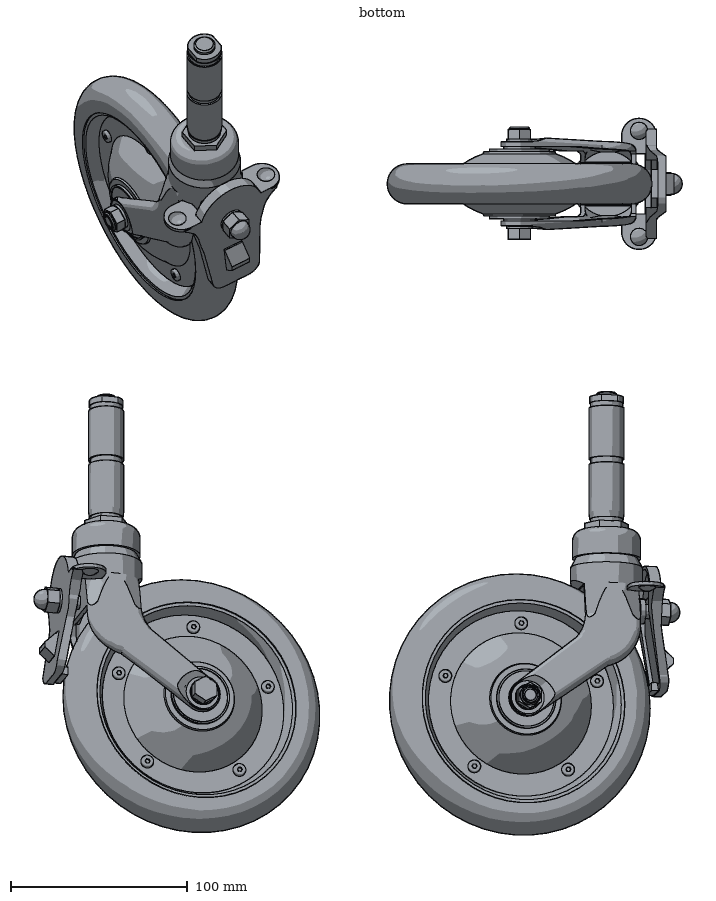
import cadquery as cq
import math


TRAIL = 50.0
AXLE_X = -TRAIL
WHEEL_RADIUS = 75.0
TYRE_HALF_WIDTH = 11.4
AXLE_RADIUS = 4.0
SHEET = 2.6
REACH = 100.0
OVERALL_TOP = 180.99

STEM_RADIUS = 10.0
CAP_RADIUS = 19.3
CAP_BOTTOM = 85.6
CAP_TOP = 101.8
CAP_FILLET = 6.0
HEX_TOP = 105.7
HEX_CORNERS = 25.2
STEM_NECK_RADIUS = 9.2
STEM_GROOVE_RADIUS = 9.0
LOWER_SLEEVE_BOTTOM = 108.3
LOWER_SLEEVE_TAPER_TOP = 111.7
LOWER_SLEEVE_TOP = 139.7
UPPER_SLEEVE_BOTTOM = 143.0
UPPER_SLEEVE_TOP = 172.2
COLLAR_RADIUS = 9.6
COLLAR_BOTTOM = 175.0
COLLAR_TOP = 178.5
COLLAR_HALF_FLATS = 8.4
TIP_RADIUS = 6.0
TIP_CHAMFER = 1.0

HEAD_RADIUS = 20.4
HEAD_TOP_RADIUS = 17.6
HEAD_SHOULDER = 80.2
HEAD_TAPER_TOP = 72.0
NECK_TOP = 68.4
NECK_FRONT = -15.4
NECK_REAR = 16.0
REAR_WALL_BOTTOM = 48.6
CROWN_UNDERSIDE = 67.5
FORK_HALF_WIDTH_TOP = 20.4
FORK_HALF_WIDTH_AXLE = 26.2
FORK_HALF_WIDTH_LOW = 28.0
ARM_ROUNDING = 4.0
EYE_RADIUS = 10.5
ARM_FOOT_Z = 12.0
EYE_INNER = 21.0
EYE_OUTER = 23.7
SCOOP_RADIUS = 16.0

TREAD_EDGE_RADIUS = 63.9
DISC_HALF_WIDTH = 3.5
DOME_RADIUS = 40.6
HUB_RADIUS = 20.7
HUB_SHOULDER = 18.2
HUB_STEP_RADIUS = 17.0
HUB_DISH_RADIUS = 15.9
HUB_DISH_DEPTH = 0.6
RIM_BEAD_RADIUS = 58.4
RIM_BEAD_DEPTH = 1.0
HUB_FACE = 19.8
SPACER_RADIUS = 9.0
SCREW_COUNT = 5
SCREW_CIRCLE = 46.0
SCREW_RADIUS = 3.6

AXLE_HEX_FLATS = 12.8
WASHER_RADIUS = 7.2
WASHER_OUTER = 25.3
BOLT_HEAD_END = 31.4
NUT_END = 32.2

EAR_TIP = 74.29 / 2
EAR_TOP = 66.5
EAR_THICKNESS = 2.0
EAR_RADIUS = 9.9
EAR_DISH_RADIUS = 5.0
EAR_DISH_DEPTH = 3.2
EAR_DISH_WALL = 1.0
EAR_DISH_Y = 30.0
EAR_INNER_Y = 17.0
EAR_NECK_CLEARANCE = 1.2
PLATE_REAR = 27.6
PLATE_THICKNESS = 3.1
ARCH_FRONT = 21.2
ARCH_HALF_WIDTH = 20.0
ARCH_TOP = 81.8
PEDAL_BOTTOM = 8.8
CHANNEL_FLOOR = 24.8
LIP_FRONT = 24.5
LIP_LENGTH = 8.5
LIP_WIDTH = 16.0
LIP_HEIGHT = 4.5
LIP_BOTTOM = 9.3
STOP_HALF_WIDTH = 6.0
PEDAL_BOLT_Z = 56.0
CAP_NUT_END = 42.19
CAP_NUT_FLATS = 13.0


def flats_to_corners(flats):
    return flats * 2 / math.sqrt(3)


def axle_disc(radius, y_from, y_to):
    """Cylinder along Y on the axle axis, between two Y positions."""
    return cq.Workplane("XZ", origin=(AXLE_X, y_from, 0)).circle(radius).extrude(y_from - y_to)


def make_stem():
    sleeve_taper = 0.4
    profile = (
        cq.Workplane("XZ")
        .moveTo(0, CAP_BOTTOM)
        .lineTo(CAP_RADIUS, CAP_BOTTOM)
        .lineTo(CAP_RADIUS, CAP_TOP - CAP_FILLET)
        .radiusArc((CAP_RADIUS - CAP_FILLET, CAP_TOP), -CAP_FILLET)
        .lineTo(STEM_NECK_RADIUS, CAP_TOP)
        .lineTo(STEM_NECK_RADIUS, LOWER_SLEEVE_BOTTOM)
        .lineTo(STEM_RADIUS - sleeve_taper, LOWER_SLEEVE_BOTTOM)
        .lineTo(STEM_RADIUS, LOWER_SLEEVE_TAPER_TOP)
        .lineTo(STEM_RADIUS, LOWER_SLEEVE_TOP)
        .lineTo(STEM_GROOVE_RADIUS, LOWER_SLEEVE_TOP)
        .lineTo(STEM_GROOVE_RADIUS, UPPER_SLEEVE_BOTTOM)
        .lineTo(STEM_RADIUS, UPPER_SLEEVE_BOTTOM)
        .lineTo(STEM_RADIUS, UPPER_SLEEVE_TOP)
        .lineTo(STEM_NECK_RADIUS, UPPER_SLEEVE_TOP)
        .lineTo(STEM_NECK_RADIUS, COLLAR_BOTTOM)
        .lineTo(COLLAR_RADIUS, COLLAR_BOTTOM)
        .lineTo(COLLAR_RADIUS, COLLAR_TOP)
        .lineTo(TIP_RADIUS, COLLAR_TOP)
        .lineTo(TIP_RADIUS, OVERALL_TOP - TIP_CHAMFER)
        .lineTo(TIP_RADIUS - TIP_CHAMFER, OVERALL_TOP)
        .lineTo(0, OVERALL_TOP)
        .close()
    )
    stem = profile.revolve(360, (0, 0, 0), (0, 1, 0))
    hexagon = cq.Workplane("XY", origin=(0, 0, CAP_TOP)).polygon(6, HEX_CORNERS).extrude(HEX_TOP - CAP_TOP)
    stem = stem.union(hexagon)
    for side in (-1, 1):
        flat = cq.Workplane("XY").box(
            2 * COLLAR_RADIUS, COLLAR_RADIUS, COLLAR_TOP - COLLAR_BOTTOM, centered=(True, True, False))
        flat_y = side * (COLLAR_HALF_FLATS + COLLAR_RADIUS / 2)
        stem = stem.cut(flat.translate((0, flat_y, COLLAR_BOTTOM)))
    return stem


def eye_tangent(start_x, start_z, side):
    """Point where the line from a start point touches the round end of the arm at the axle."""
    reach_x = start_x - AXLE_X
    distance = math.hypot(reach_x, start_z)
    angle = math.atan2(start_z, reach_x) + side * math.acos(EYE_RADIUS / distance)
    return AXLE_X + EYE_RADIUS * math.cos(angle), EYE_RADIUS * math.sin(angle)


def fork_side_outline():
    """Side outline of the neck and the arm, ending in a round around the axle."""
    upper_bend = (-21.2, 36.3)
    lower_bend = (-3.2, 20.3)
    mid_angle = math.atan2(upper_bend[1] + lower_bend[1], upper_bend[0] + lower_bend[0] - 2 * AXLE_X)
    eye_far_point = (AXLE_X - EYE_RADIUS * math.cos(mid_angle), -EYE_RADIUS * math.sin(mid_angle))
    return (
        cq.Workplane("XZ")
        .moveTo(NECK_FRONT, NECK_TOP)
        .lineTo(NECK_FRONT, 50.5)
        .threePointArc((-17.0, 43.0), upper_bend)
        .lineTo(*eye_tangent(*upper_bend, 1))
        .threePointArc(eye_far_point, eye_tangent(*lower_bend, -1))
        .lineTo(*lower_bend)
        .threePointArc((9.8, 28.3), (NECK_REAR, 42.0))
        .lineTo(NECK_REAR, NECK_TOP)
        .close()
    )


def fork_form(inset):
    """Filled, rounded shape of the neck and both arms, with all faces moved inwards by the inset."""
    side = fork_side_outline()
    if inset:
        side = side.offset2D(-inset)
    side = side.extrude(2 * FORK_HALF_WIDTH_AXLE, both=True)
    top = FORK_HALF_WIDTH_TOP - inset
    low = FORK_HALF_WIDTH_LOW - inset
    below = -2 * EYE_RADIUS
    width = (
        cq.Workplane("YZ")
        .polyline([(-top, NECK_TOP), (-low, below), (low, below), (top, NECK_TOP)])
        .close()
        .extrude(REACH, both=True)
    )
    form = side.intersect(width)
    rims = [
        edge for edge in form.edges().vals()
        if abs(edge.startPoint().y - edge.endPoint().y) < abs(edge.startPoint().z - edge.endPoint().z)
    ]
    return form.newObject(rims).fillet(ARM_ROUNDING).intersect(neck_bell(inset))


def neck_bell(inset):
    """Round bell that keeps the neck circular under the head and opens out over the arms."""
    return (
        cq.Workplane("XZ")
        .polyline([(0, NECK_TOP), (HEAD_RADIUS - inset, NECK_TOP), (24.5 - inset, 50.0),
                   (31.0 - inset, 37.0), (70.0 - inset, 10.0), (120.0, -30.0), (0, -30.0)])
        .close()
        .revolve(360, (0, 0, 0), (0, 1, 0))
    )


def wheel_gap():
    """Gap between the arms, spreading towards the axle; the rear wall of the neck stays closed."""
    stations = [(12.0, CROWN_UNDERSIDE), (18.5, 42.0), (18.5, 33.0), (EYE_INNER, ARM_FOOT_Z),
                (EYE_INNER, -2 * EYE_RADIUS)]
    mirrored = [(-y, z) for y, z in reversed(stations)]
    gap = cq.Workplane("YZ").polyline(stations + mirrored).close().extrude(REACH, both=True)
    rear_wall = cq.Workplane("XY").box(
        REACH, REACH, CROWN_UNDERSIDE, centered=(False, True, False)
    ).translate((NECK_REAR - SHEET, 0, REAR_WALL_BOTTOM))
    return gap.cut(rear_wall)


def eye_scoop(side):
    """Conical dish that sinks the outer face of an arm down to the eye."""
    return (
        cq.Workplane("XY")
        .polyline([(0, EYE_OUTER), (EYE_RADIUS - 1, EYE_OUTER),
                   (SCOOP_RADIUS, FORK_HALF_WIDTH_AXLE), (SCOOP_RADIUS, 2 * FORK_HALF_WIDTH_AXLE),
                   (0, 2 * FORK_HALF_WIDTH_AXLE)])
        .close()
        .revolve(360, (0, 0, 0), (0, 1, 0))
        .rotate((0, 0, 0), (0, 0, 1), 0 if side > 0 else 180)
        .translate((AXLE_X, 0, 0))
    )


def fork_head():
    """Round head, tapered down to the neck at its front and rear only."""
    head = (
        cq.Workplane("XZ")
        .polyline([(0, CROWN_UNDERSIDE), (HEAD_RADIUS, CROWN_UNDERSIDE), (HEAD_RADIUS, HEAD_SHOULDER),
                   (HEAD_TOP_RADIUS, CAP_BOTTOM), (0, CAP_BOTTOM)])
        .close()
        .revolve(360, (0, 0, 0), (0, 1, 0))
    )
    taper = (
        cq.Workplane("XZ")
        .polyline([(NECK_FRONT, CROWN_UNDERSIDE), (NECK_FRONT, NECK_TOP), (-HEAD_RADIUS, HEAD_TAPER_TOP),
                   (-HEAD_RADIUS, CAP_BOTTOM), (HEAD_RADIUS, CAP_BOTTOM), (HEAD_RADIUS, HEAD_TAPER_TOP),
                   (NECK_REAR, NECK_TOP), (NECK_REAR, CROWN_UNDERSIDE)])
        .close()
        .extrude(HEAD_RADIUS, both=True)
    )
    return head.intersect(taper)


def make_fork():
    fork = fork_form(0).cut(fork_form(SHEET)).union(fork_head()).cut(wheel_gap())
    for side in (-1, 1):
        fork = fork.union(axle_disc(EYE_RADIUS, side * EYE_INNER, side * EYE_OUTER))
        fork = fork.cut(eye_scoop(side))
    return fork.cut(axle_disc(AXLE_RADIUS, -FORK_HALF_WIDTH_LOW, FORK_HALF_WIDTH_LOW))


def wheel_half_profile():
    """Radial section of one half of the wheel, radius along X and half width along Y."""
    return (
        cq.Workplane("XY")
        .moveTo(AXLE_RADIUS, 0)
        .lineTo(TREAD_EDGE_RADIUS, 0)
        .lineTo(TREAD_EDGE_RADIUS, TYRE_HALF_WIDTH)
        .lineTo(RIM_BEAD_RADIUS, TYRE_HALF_WIDTH)
        .lineTo(RIM_BEAD_RADIUS, TYRE_HALF_WIDTH - RIM_BEAD_DEPTH)
        .lineTo(56.5, TYRE_HALF_WIDTH - RIM_BEAD_DEPTH)
        .threePointArc((54.5, 7.5), (53.3, DISC_HALF_WIDTH))
        .lineTo(DOME_RADIUS, DISC_HALF_WIDTH)
        .threePointArc((31.0, 12.0), (HUB_RADIUS, 17.0))
        .lineTo(HUB_RADIUS - 0.5, HUB_SHOULDER)
        .lineTo(HUB_STEP_RADIUS, HUB_SHOULDER)
        .lineTo(HUB_STEP_RADIUS, HUB_FACE)
        .lineTo(HUB_DISH_RADIUS, HUB_FACE)
        .lineTo(HUB_DISH_RADIUS, HUB_FACE - HUB_DISH_DEPTH)
        .lineTo(SPACER_RADIUS, HUB_FACE - HUB_DISH_DEPTH)
        .lineTo(SPACER_RADIUS, EYE_INNER)
        .lineTo(AXLE_RADIUS, EYE_INNER)
        .close()
    )


def rim_screws():
    """Screw heads with hexagon sockets around the disc, on both of its sides."""
    head_height = 2.0
    socket_corners = 2.8
    heads = []
    for number in range(SCREW_COUNT):
        angle = math.pi / 2 + number * 2 * math.pi / SCREW_COUNT
        centre = (SCREW_CIRCLE * math.cos(angle), SCREW_CIRCLE * math.sin(angle))
        head = (
            cq.Workplane("XZ")
            .center(*centre)
            .circle(SCREW_RADIUS)
            .extrude(DISC_HALF_WIDTH + head_height)
            .faces("<Y").edges().fillet(head_height / 3)
        )
        socket = (
            cq.Workplane("XZ", origin=(0, -DISC_HALF_WIDTH - head_height, 0))
            .center(*centre)
            .polygon(6, socket_corners)
            .extrude(-head_height / 2)
        )
        head = head.cut(socket)
        heads += [head, head.mirror("XZ")]
    return heads


def make_wheel():
    half = wheel_half_profile().revolve(360, (0, 0, 0), (0, 1, 0))
    tread = (
        cq.Workplane("XY")
        .moveTo(TREAD_EDGE_RADIUS, -TYRE_HALF_WIDTH)
        .threePointArc((WHEEL_RADIUS, 0), (TREAD_EDGE_RADIUS, TYRE_HALF_WIDTH))
        .close()
        .revolve(360, (0, 0, 0), (0, 1, 0))
    )
    wheel = half.union(half.mirror("XZ")).union(tread)
    for head in rim_screws():
        wheel = wheel.union(head)
    return wheel.translate((AXLE_X, 0, 0))


def axle_hexagon(y_from, y_to):
    return (
        cq.Workplane("XZ", origin=(AXLE_X, y_from, 0))
        .transformed(rotate=(0, 0, 90))
        .polygon(6, flats_to_corners(AXLE_HEX_FLATS))
        .extrude(y_from - y_to)
    )


def make_axle_bolt():
    nut_flange = 1.5
    collar_radius = 5.8
    groove_depth = 1.0
    groove_outer = AXLE_RADIUS + 0.3
    groove_inner = AXLE_RADIUS - 0.7
    bolt = axle_disc(AXLE_RADIUS, -NUT_END, EYE_OUTER)
    for side in (-1, 1):
        bolt = bolt.union(axle_disc(WASHER_RADIUS, side * EYE_OUTER, side * WASHER_OUTER))
    bolt = bolt.union(axle_hexagon(WASHER_OUTER, BOLT_HEAD_END))
    bolt = bolt.union(axle_hexagon(-WASHER_OUTER, -NUT_END + nut_flange))
    collar = axle_disc(collar_radius, -WASHER_OUTER, -NUT_END).faces("<Y").edges().chamfer(nut_flange / 2)
    groove = axle_disc(groove_outer, -NUT_END, -NUT_END + groove_depth)
    thread_end = axle_disc(groove_inner, -NUT_END, -NUT_END + groove_depth)
    return bolt.union(collar).cut(groove).union(thread_end)


def ear_dish(wall):
    """Spherical caps sunk into the tops of both ears, enlarged by a wall."""
    sphere_radius = (EAR_DISH_RADIUS**2 + EAR_DISH_DEPTH**2) / (2 * EAR_DISH_DEPTH)
    centre_z = EAR_TOP - EAR_DISH_DEPTH + sphere_radius
    below_top = cq.Workplane("XY").box(REACH, REACH, EAR_TOP, centered=(True, True, False))
    return (
        cq.Workplane("XY", origin=(PLATE_REAR - EAR_RADIUS, 0, centre_z))
        .pushPoints([(0, EAR_DISH_Y), (0, -EAR_DISH_Y)])
        .sphere(sphere_radius + wall)
        .intersect(below_top)
    )


def pedal_ears():
    """Level plate reaching to both sides, with a round, dished ear at each end."""
    plate_bottom = EAR_TOP - EAR_THICKNESS
    ears = (
        cq.Workplane("XY", origin=(PLATE_REAR - EAR_RADIUS, 0, plate_bottom))
        .slot2D(2 * EAR_TIP, 2 * EAR_RADIUS, 90)
        .extrude(EAR_THICKNESS)
    )
    opening = cq.Workplane("XY", origin=(0, 0, plate_bottom)).rect(
        2 * (PLATE_REAR - PLATE_THICKNESS), 2 * EAR_INNER_Y).extrude(EAR_THICKNESS)
    neck_notch = cq.Workplane("XY", origin=(0, 0, plate_bottom)).circle(
        HEAD_RADIUS + EAR_NECK_CLEARANCE).extrude(EAR_THICKNESS)
    return ears.cut(opening).cut(neck_notch).union(ear_dish(EAR_DISH_WALL))


def pedal_arch():
    """Upright plate with an arched top and a rim turned towards the fork head."""
    def arch(inset, x_from, x_to):
        half = ARCH_HALF_WIDTH - inset
        return (
            cq.Workplane("YZ", origin=(x_from, 0, 0))
            .moveTo(-half, EAR_TOP - EAR_THICKNESS)
            .lineTo(-half, EAR_TOP)
            .threePointArc((0, ARCH_TOP - inset), (half, EAR_TOP))
            .lineTo(half, EAR_TOP - EAR_THICKNESS)
            .close()
            .extrude(x_to - x_from)
        )
    plate_front = PLATE_REAR - PLATE_THICKNESS
    return arch(0, ARCH_FRONT, PLATE_REAR).cut(arch(EAR_THICKNESS, ARCH_FRONT, plate_front))


def pedal_lever():
    """Sloping channel that hangs from the ears and ends in a foot lip."""
    knee_z = 45.0
    tip_half = 16.0
    tip_round = 8.0
    waist_half = 19.0
    waist_z = 40.0
    shoulder_half = 21.5
    shoulder_z = 50.0
    flare_half = 31.0
    channel_end = 13.0
    ear_bottom = EAR_TOP - EAR_THICKNESS
    side = (
        cq.Workplane("XZ")
        .polyline([(21.5, ear_bottom + 1), (PLATE_REAR, ear_bottom + 1), (PLATE_REAR, knee_z), (33.0, 14.0),
                   (33.0, PEDAL_BOTTOM), (28.5, PEDAL_BOTTOM), (23.0, knee_z), (21.5, 55.0)])
        .close()
        .extrude(EAR_TIP, both=True)
    )
    front = (
        cq.Workplane("YZ")
        .moveTo(-flare_half, EAR_TOP)
        .lineTo(-flare_half, ear_bottom)
        .threePointArc((-25.0, 59.0), (-shoulder_half, shoulder_z))
        .lineTo(-waist_half, waist_z)
        .lineTo(-tip_half, PEDAL_BOTTOM + tip_round)
        .radiusArc((-tip_half + tip_round, PEDAL_BOTTOM), -tip_round)
        .lineTo(tip_half - tip_round, PEDAL_BOTTOM)
        .radiusArc((tip_half, PEDAL_BOTTOM + tip_round), -tip_round)
        .lineTo(waist_half, waist_z)
        .lineTo(shoulder_half, shoulder_z)
        .threePointArc((25.0, 59.0), (flare_half, ear_bottom))
        .lineTo(flare_half, EAR_TOP)
        .close()
        .extrude(REACH)
    )
    channel = (
        cq.Workplane("XZ")
        .polyline([(0, ARCH_TOP), (CHANNEL_FLOOR, ARCH_TOP), (CHANNEL_FLOOR, knee_z),
                   (30.2, channel_end), (0, channel_end)])
        .close()
        .extrude(tip_half - SHEET, both=True)
    )
    lip = cq.Workplane("XY", origin=(LIP_FRONT, 0, LIP_BOTTOM)).box(
        LIP_LENGTH, LIP_WIDTH, LIP_HEIGHT, centered=(False, True, False))
    return side.intersect(front).cut(channel).union(lip)


def pedal_stop():
    """Pointed bump on the outer face of the lever."""
    return (
        cq.Workplane("XZ")
        .polyline([(28.0, 36.0), (30.0, 35.5), (37.5, 28.5), (37.5, 25.5), (32.0, 20.5), (31.0, 20.5)])
        .close()
        .extrude(STOP_HALF_WIDTH, both=True)
    )


def pivot_bolt():
    """Cross bolt between the neck and the lever, closed by a cap nut."""
    nut_start = 28.8
    nut_end = 35.8
    dome_radius = 5.8
    flange_radius = 7.0
    flange_gap = 2.5
    flange_thickness = 3.0
    neck_face = cq.Workplane("YZ", origin=(NECK_REAR, 0, PEDAL_BOLT_Z))
    shank = neck_face.circle(AXLE_RADIUS).extrude(nut_start - NECK_REAR)
    flange = neck_face.workplane(offset=flange_gap).circle(flange_radius).extrude(flange_thickness)
    collar = (
        cq.Workplane("YZ", origin=(CHANNEL_FLOOR, 0, PEDAL_BOLT_Z))
        .circle(flange_radius)
        .extrude(nut_start - CHANNEL_FLOOR)
    )
    nut = (
        cq.Workplane("YZ", origin=(nut_start, 0, PEDAL_BOLT_Z))
        .transformed(rotate=(0, 0, 90))
        .polygon(6, flats_to_corners(CAP_NUT_FLATS))
        .extrude(nut_end - nut_start)
    )
    dome = (
        cq.Workplane("YZ", origin=(nut_end, 0, PEDAL_BOLT_Z))
        .circle(dome_radius)
        .extrude(CAP_NUT_END - nut_end)
        .faces(">X").edges().fillet(dome_radius - 0.1)
    )
    return shank.union(flange).union(collar).union(nut).union(dome)


def make_pedal():
    return pedal_ears().union(pedal_arch()).union(pedal_lever()).union(pedal_stop()).union(pivot_bolt())


stem = make_stem()
fork = make_fork()
wheel = make_wheel()
axle_bolt = make_axle_bolt()
pedal = make_pedal().cut(ear_dish(0))

bodies = [stem, fork, wheel, axle_bolt, pedal]
result = cq.Compound.makeCompound([body.solids().val() for body in bodies])